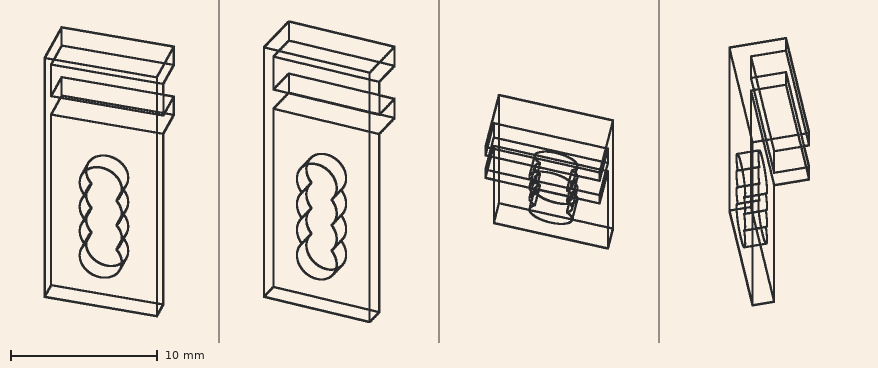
import cadquery as cq

width = 8.0
depth = 3.94
height = 19.6

wall = 1.5
rib_gap = 2.59

hole_diameter = 3.0
hole_pitch = 2.0
hole_count = 4
lowest_hole_height = 3.9


def block(y_size, z_size, z_bottom):
    """Full-width block standing on the front face plane, centred in X."""
    return (
        cq.Workplane("XY")
        .box(width, y_size, z_size, centered=(True, False, False))
        .translate((0, 0, z_bottom))
    )


plate = block(wall, height, 0)

top_rib_bottom = height - wall
lower_rib_bottom = top_rib_bottom - rib_gap - wall
body = plate
for rib_bottom in (top_rib_bottom, lower_rib_bottom):
    body = body.union(block(depth, wall, rib_bottom))

for index in range(hole_count):
    hole_height = lowest_hole_height + index * hole_pitch
    hole = (
        cq.Workplane("XZ")
        .center(0, hole_height)
        .circle(hole_diameter / 2)
        .extrude(-wall)
    )
    body = body.cut(hole)

result = body